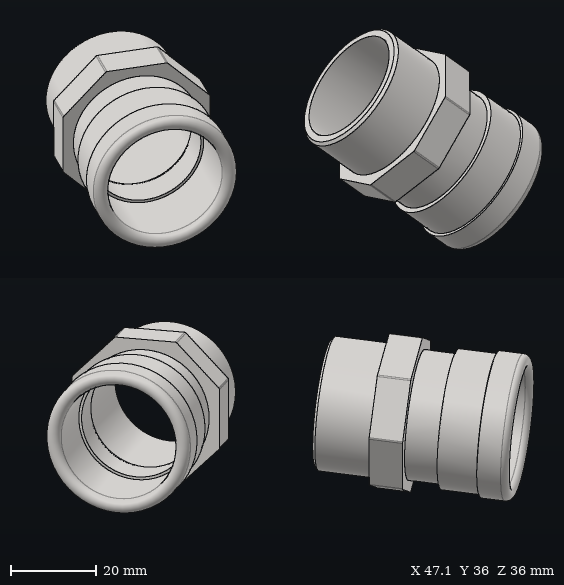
import cadquery as cq
import math

total_length = 47.05
nut_start = 14.0
nut_end = 22.0
collar_start = 30.0
rim_start = 39.6

spigot_diameter = 32.0
neck_diameter = 31.0
collar_diameter = 33.5
rim_diameter = 35.0

spigot_chamfer = 0.7
rim_round_radius = 1.75

nut_across_flats = 36.0
nut_corner_fillet = 0.5
nut_sides = 8

bore_diameter = 26.7
mouth_diameter = 27.2
mouth_depth = nut_end
socket_diameter = rim_diameter - 4 * rim_round_radius
socket_start = collar_start


def cylinder(diameter, start, end):
    """Solid cylinder on the X axis between two axial positions."""
    return cq.Workplane("YZ", origin=(start, 0, 0)).circle(diameter / 2).extrude(end - start)


def spigot():
    body = cylinder(spigot_diameter, 0, nut_start)
    return body.faces("<X").edges().chamfer(spigot_chamfer)


def octagonal_nut():
    across_corners = nut_across_flats / math.cos(math.pi / nut_sides)
    prism = (
        cq.Workplane("YZ", origin=(nut_start, 0, 0))
        .transformed(rotate=(0, 0, 180 / nut_sides))
        .polygon(nut_sides, across_corners)
        .extrude(nut_end - nut_start)
    )
    return prism.edges("|X").fillet(nut_corner_fillet)


def rim():
    """Revolved rim whose wall ends in a half circle from its outer side to the socket."""
    round_start = total_length - rim_round_radius
    outer_radius = rim_diameter / 2
    socket_radius = socket_diameter / 2
    return (
        cq.Workplane("XY")
        .moveTo(rim_start, socket_radius)
        .lineTo(rim_start, outer_radius)
        .lineTo(round_start, outer_radius)
        .threePointArc((total_length, outer_radius - rim_round_radius), (round_start, socket_radius))
        .close()
        .revolve(360, (0, 0, 0), (1, 0, 0))
    )


result = (
    spigot()
    .union(octagonal_nut())
    .union(cylinder(neck_diameter, nut_end, collar_start))
    .union(cylinder(collar_diameter, collar_start, rim_start))
    .union(rim())
    .cut(cylinder(bore_diameter, 0, total_length))
    .cut(cylinder(mouth_diameter, 0, mouth_depth))
    .cut(cylinder(socket_diameter, socket_start, total_length))
)